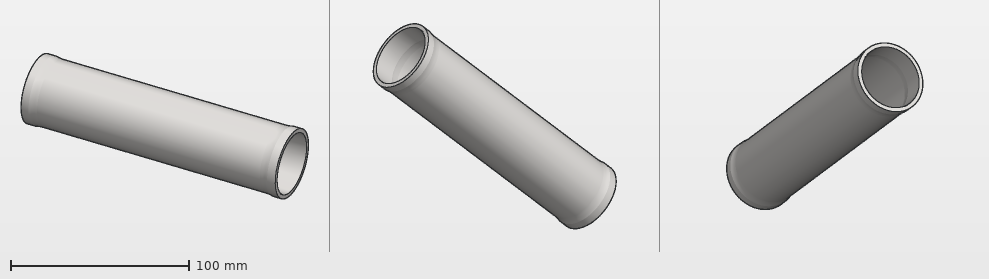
import cadquery as cq

length = 160.0
collar_diameter = 41.1
body_diameter = 39.8
end_bore_diameter = 36.3
body_bore_diameter = 37.5
collar_length = 5.0
end_bore_length = 13.5
transition_length = 5.0

half_length = length / 2


def stepped_rod(end_diameter, middle_diameter, end_length):
    """Solid rod along X, with ends that blend into the middle in arcs tangent to the middle."""
    end_radius = end_diameter / 2
    middle_radius = middle_diameter / 2
    blend_start = half_length - end_length
    blend_finish = blend_start - transition_length
    profile = (
        cq.Workplane("XZ")
        .moveTo(-blend_finish, middle_radius)
        .lineTo(blend_finish, middle_radius)
        .tangentArcPoint((blend_start, end_radius), relative=False)
        .lineTo(half_length, end_radius)
        .lineTo(half_length, 0)
        .lineTo(-half_length, 0)
        .lineTo(-half_length, end_radius)
        .lineTo(-blend_start, end_radius)
    )
    rise = end_radius - middle_radius
    blend_radius = (transition_length**2 + rise**2) / (2 * abs(rise))
    arc_side = blend_radius if rise < 0 else -blend_radius
    profile = profile.radiusArc((-blend_finish, middle_radius), arc_side).close()
    return profile.revolve(360, (0, 0, 0), (1, 0, 0))


outside = stepped_rod(collar_diameter, body_diameter, collar_length)
bore = stepped_rod(end_bore_diameter, body_bore_diameter, end_bore_length)
result = outside.cut(bore)